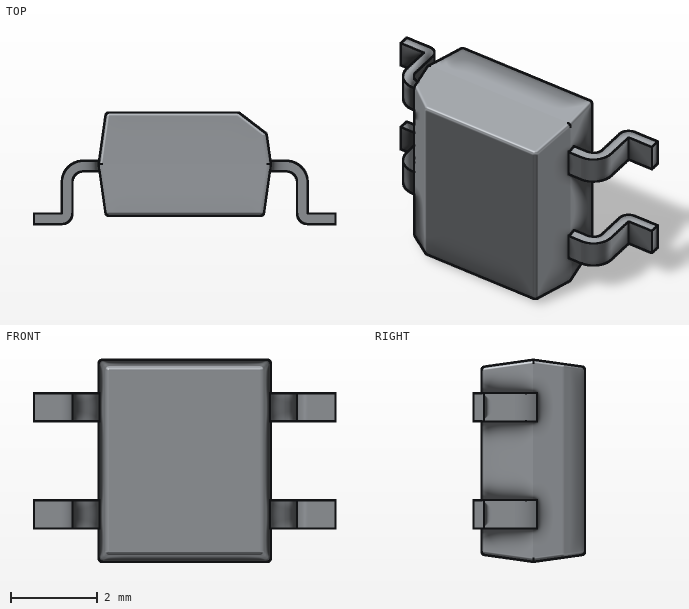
import cadquery as cq
import math

overall_width = 7.0
overall_height = 2.6

body_width = 4.005
body_length = 4.7
half_height = 1.205
draft_angle = 8.0
edge_radius = 0.1
bevel_width = 0.58
bevel_depth = 0.5

lead_thickness = 0.25
lead_width = 0.66
lead_pitch = 2.485
foot_length = 0.645
lead_top = 0.085
lead_embed = 0.35

draft_slope = math.tan(math.radians(draft_angle))


def half_block(direction):
    """Drafted half of the body, growing from the parting plane along +Y (1) or -Y (-1)."""
    plane = cq.Plane(origin=(0, 0, 0), xDir=(1, 0, 0), normal=(0, direction, 0))
    return cq.Workplane(plane).rect(body_width, body_length).extrude(half_height, taper=draft_angle)


def bevel_wedge():
    """Wedge that removes the +X corner of the top face along the whole body."""
    top_corner_x = body_width / 2 - half_height * draft_slope
    start = (top_corner_x - bevel_width, half_height)
    end = (top_corner_x + bevel_depth * draft_slope, half_height - bevel_depth)
    run = (end[0] - start[0], end[1] - start[1])
    before = (start[0] - run[0], start[1] - run[1])
    after = (end[0] + run[0], end[1] + run[1])
    return (
        cq.Workplane("XY")
        .polyline([before, after, (after[0], before[1])])
        .close()
        .extrude(body_length, both=True)
    )


def make_body():
    """Both halves with every edge rounded except those on the parting plane."""
    lower = half_block(-1).edges("not >Y").fillet(edge_radius)
    upper = half_block(1).cut(bevel_wedge()).edges("not <Y").fillet(edge_radius)
    return lower.union(upper)


def make_lead():
    """Lead on the +X side, centred on Z = 0."""
    tip_x = overall_width / 2
    upright_outer_x = tip_x - foot_length
    upright_inner_x = upright_outer_x - lead_thickness
    root_x = body_width / 2 - lead_embed
    foot_bottom = half_height - overall_height
    foot_top = foot_bottom + lead_thickness
    shoulder_bottom = lead_top - lead_thickness
    inner_radius = lead_thickness
    outer_radius = inner_radius + lead_thickness
    bend_x = upright_outer_x - outer_radius
    bend_y = lead_top - outer_radius
    diagonal = math.sqrt(0.5)
    return (
        cq.Workplane("XY")
        .moveTo(root_x, lead_top)
        .lineTo(bend_x, lead_top)
        .threePointArc(
            (bend_x + outer_radius * diagonal, bend_y + outer_radius * diagonal),
            (upright_outer_x, bend_y),
        )
        .lineTo(upright_outer_x, foot_top)
        .lineTo(tip_x, foot_top)
        .lineTo(tip_x, foot_bottom)
        .lineTo(upright_outer_x, foot_bottom)
        .threePointArc(
            (upright_outer_x - lead_thickness * diagonal, foot_top - lead_thickness * diagonal),
            (upright_inner_x, foot_top),
        )
        .lineTo(upright_inner_x, bend_y)
        .threePointArc(
            (bend_x + inner_radius * diagonal, bend_y + inner_radius * diagonal),
            (bend_x, shoulder_bottom),
        )
        .lineTo(root_x, shoulder_bottom)
        .close()
        .extrude(lead_width / 2, both=True)
    )


result = make_body()
right_lead = make_lead()
left_lead = right_lead.mirror("YZ")
for z in (-lead_pitch / 2, lead_pitch / 2):
    for lead in (left_lead, right_lead):
        result = result.union(lead.translate((0, 0, z)))